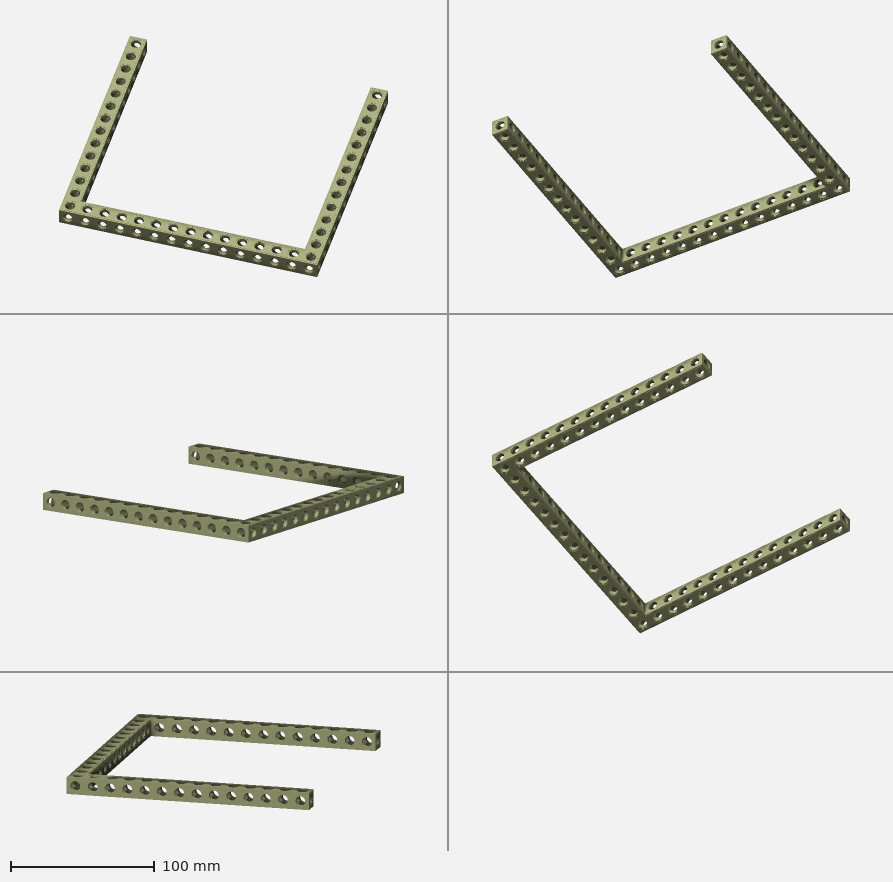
import cadquery as cq

width = 187.5
holes_along_x = 15
holes_along_y = 14
pitch = width / holes_along_x
depth = pitch * holes_along_y
height = pitch
mid_height = height / 2

step_inset = 1.0
step_depth = 0.2

bore_diameter = 7.0
mouth_diameter = 7.7
mouth_depth = 0.2

recess_diameter = 9.2
recess_depth = 0.2

x_centers = [(i + 0.5) * pitch for i in range(holes_along_x)]
y_centers = [(i + 0.5) * pitch for i in range(holes_along_y)]
arm_x_centers = [x_centers[0], x_centers[-1]]
open_x_centers = x_centers[1:-1]
open_y_centers = y_centers[1:]


def frame_outline():
    """U-shaped outline: a base bar along X with an arm along +Y at each end."""
    return (
        cq.Workplane("XY")
        .moveTo(0, 0)
        .lineTo(width, 0)
        .lineTo(width, depth)
        .lineTo(width - pitch, depth)
        .lineTo(width - pitch, pitch)
        .lineTo(pitch, pitch)
        .lineTo(pitch, depth)
        .lineTo(0, depth)
        .close()
    )


def make_frame():
    """Frame whose top and bottom faces are set in from the side walls by a shallow step."""
    core = frame_outline().offset2D(-step_inset, "intersection").extrude(height)
    walls = frame_outline().extrude(height - 2 * step_depth).translate((0, 0, step_depth))
    return core.union(walls)


def cylinders(plane, points, diameter, start, end):
    """Cylinders on a base plane, running from start to end along the plane's normal."""
    return (
        cq.Workplane(plane)
        .workplane(offset=start)
        .pushPoints(points)
        .circle(diameter / 2)
        .extrude(end - start)
    )


def drill_vertical(frame):
    """Vertical bores with a mouth and a wider recess in the top and bottom faces."""
    base_points = [(x, y_centers[0]) for x in x_centers]
    arm_points = [(x, y) for x in arm_x_centers for y in open_y_centers]
    points = base_points + arm_points
    mouth_floor = recess_depth + mouth_depth
    frame = frame.cut(cylinders("XY", points, bore_diameter, 0, height))
    for diameter, floor in ((mouth_diameter, mouth_floor), (recess_diameter, recess_depth)):
        frame = frame.cut(cylinders("XY", points, diameter, 0, floor))
        frame = frame.cut(cylinders("XY", points, diameter, height - floor, height))
    return frame


def drill_along_y(frame):
    """Bores through the base bar; the two end ones run the length of the arms."""
    every_point = [(mid_height, x) for x in x_centers]
    open_points = [(mid_height, x) for x in open_x_centers]
    arm_points = [(mid_height, x) for x in arm_x_centers]
    return (
        frame.cut(cylinders("ZX", every_point, bore_diameter, 0, depth))
        .cut(cylinders("ZX", every_point, mouth_diameter, 0, mouth_depth))
        .cut(cylinders("ZX", open_points, mouth_diameter, pitch - mouth_depth, pitch))
        .cut(cylinders("ZX", arm_points, mouth_diameter, depth - mouth_depth, depth))
    )


def drill_along_x(frame):
    """Bores through both arms; the first runs the length of the base bar."""
    every_point = [(y, mid_height) for y in y_centers]
    open_points = [(y, mid_height) for y in open_y_centers]
    inner_wall = width - pitch
    return (
        frame.cut(cylinders("YZ", every_point, bore_diameter, 0, width))
        .cut(cylinders("YZ", every_point, mouth_diameter, 0, mouth_depth))
        .cut(cylinders("YZ", open_points, mouth_diameter, pitch - mouth_depth, pitch))
        .cut(cylinders("YZ", open_points, mouth_diameter, inner_wall, inner_wall + mouth_depth))
        .cut(cylinders("YZ", every_point, mouth_diameter, width - mouth_depth, width))
    )


result = drill_along_x(drill_along_y(drill_vertical(make_frame())))